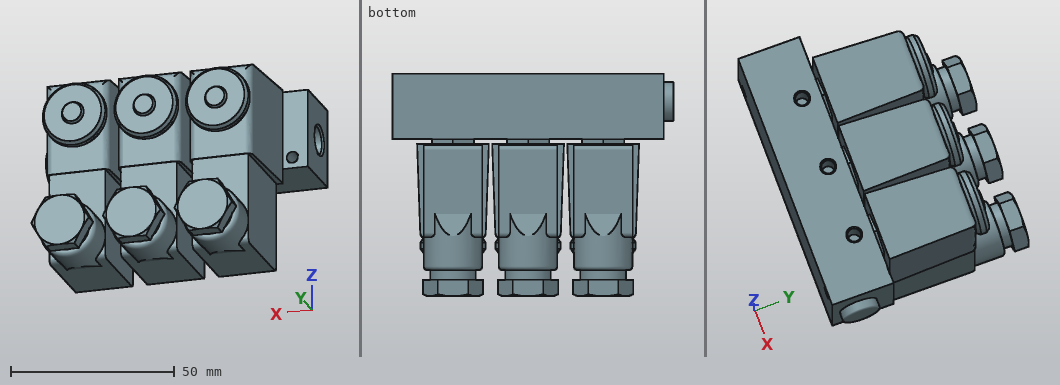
import cadquery as cq
import math

overall_length = 86
overall_depth = 68.0
overall_height = 61.0

block_length = 83.0
block_depth = 20.0
block_height = 25.0
block_mid_height = block_height / 2

mount_diameter = 3.6
mount_side_inset = 5.0
mount_edge_inset = 3.5

port_diameter = 8.6
port_mouth_diameter = 9.8
port_depth = 12
port_y = 8.5
plug_diameter = 12
plug_length = overall_length - block_length
plug_fillet = 0.5

outlet_diameter = 4.1
outlet_mouth_diameter = 5.0
outlet_depth = 7.7
outlet_y = 14.0

valve_count = 3
valve_pitch = 23.0

neck_flats = 13.0
neck_length = 1.5

coil_width = 22.0
coil_height = 30.3
coil_depth = 29.0
coil_draft = 2
coil_fillet = 1.9
coil_front_y = block_depth + neck_length
coil_back_y = coil_front_y + coil_depth
coil_bottom_z = block_height - coil_height

cap_diameter = 20.0
cap_length = 4.2
cap_bevel_length = 1.2
cap_bevel_height = 0.9
knob_base_diameter = 7.05
knob_end_diameter = 6
knob_length = 0.95

box_width = 18.0
box_inset = 0.4
box_depth = coil_depth - 2 * box_inset
box_height = 28.8
box_fillet = 1.5
box_front_y = coil_front_y + box_inset
box_bottom_z = coil_bottom_z - box_height

sleeve_diameter = 18.0
sleeve_back_y = 60.1
sleeve_fillet = 1.2
ramp_front_y = 42.9
ramp_back_y = 49.6
stem_diameter = 14.0
nut_flats = 16.0
nut_length = 5.0
nut_bevel_angle = 25
nut_front_y = overall_depth - nut_length
gland_bottom_z = block_height - overall_height
gland_z = gland_bottom_z + sleeve_diameter / 2


def plane_at(x, y, z):
    """Sketch plane facing +Y, with its local x along -X and local y along +Z."""
    return cq.Workplane(cq.Plane(origin=(x, y, z), xDir=(-1, 0, 0), normal=(0, 1, 0)))


def drill(origin, direction, diameter, mouth_diameter, depth):
    """Blind hole cutter with a 45 degree countersunk mouth."""
    start = cq.Vector(*origin)
    axis = cq.Vector(*direction)
    sink = (mouth_diameter - diameter) / 2
    bore = cq.Solid.makeCylinder(diameter / 2, depth, start, axis)
    mouth = cq.Solid.makeCone(mouth_diameter / 2, diameter / 2, sink, start, axis)
    return cq.Workplane(bore).union(cq.Workplane(mouth))


def make_block(valve_positions):
    block = cq.Workplane().box(block_length, block_depth, block_height, centered=False)
    plug = (
        cq.Workplane("YZ", origin=(block_length, port_y, block_mid_height))
        .circle(plug_diameter / 2)
        .extrude(plug_length)
        .faces(">X")
        .edges()
        .fillet(plug_fillet)
    )
    block = block.union(plug)
    mount_points = [
        (mount_side_inset, mount_edge_inset),
        (block_length - mount_side_inset, block_height - mount_edge_inset),
    ]
    for x, z in mount_points:
        block = block.cut(plane_at(x, 0, z).circle(mount_diameter / 2).extrude(block_depth))
    port_origin = (0, port_y, block_mid_height)
    block = block.cut(drill(port_origin, (1, 0, 0), port_diameter, port_mouth_diameter, port_depth))
    for x in valve_positions:
        outlet_origin = (x, outlet_y, block_height)
        block = block.cut(
            drill(outlet_origin, (0, 0, -1), outlet_diameter, outlet_mouth_diameter, outlet_depth)
        )
    return block


def hexagon_corner_radius(flats):
    return flats / 2 / math.cos(math.pi / 6)


def hexagon(flats, first_corner_angle):
    """Corner points of a hexagon of the given width across flats."""
    radius = hexagon_corner_radius(flats)
    angles = [math.radians(first_corner_angle + 60 * i) for i in range(6)]
    return [(radius * math.cos(a), radius * math.sin(a)) for a in angles]


def make_neck(x):
    neck = plane_at(x, block_depth, block_mid_height)
    return neck.polyline(hexagon(neck_flats, 90)).close().extrude(neck_length)


def make_coil(x):
    shrink = coil_depth * math.tan(math.radians(coil_draft))
    coil = (
        plane_at(x, coil_front_y, coil_bottom_z + coil_height / 2)
        .rect(coil_width, coil_height)
        .workplane(offset=coil_depth)
        .center(0, -shrink / 2)
        .rect(coil_width - 2 * shrink, coil_height - shrink)
        .loft(ruled=True)
    )
    return coil.faces(">Y").edges("not <Z").fillet(coil_fillet)


def make_cap(x):
    radius = cap_diameter / 2
    end_radius = radius - cap_bevel_height
    cap = (
        cq.Workplane("XY", origin=(x, coil_back_y, block_mid_height))
        .lineTo(end_radius, 0)
        .lineTo(radius, cap_bevel_length)
        .lineTo(radius, cap_length - cap_bevel_length)
        .lineTo(end_radius, cap_length)
        .lineTo(0, cap_length)
        .close()
        .revolve(360, (0, 0, 0), (0, 1, 0))
    )
    knob = cq.Solid.makeCone(
        knob_base_diameter / 2,
        knob_end_diameter / 2,
        knob_length,
        cq.Vector(x, coil_back_y + cap_length, block_mid_height),
        cq.Vector(0, 1, 0),
    )
    return cap.union(cq.Workplane(knob))


def make_connector_box(x):
    box = cq.Workplane().box(box_width, box_depth, box_height, centered=(True, False, False))
    box = box.translate((x, box_front_y, box_bottom_z))
    return box.faces("<Z").edges("|X").fillet(box_fillet)


def make_sleeve(x):
    """Cylinder whose lower front is cut by a ramp rising towards the box bottom."""
    sleeve = (
        plane_at(x, ramp_front_y, gland_z)
        .circle(sleeve_diameter / 2)
        .extrude(sleeve_back_y - ramp_front_y)
        .faces(">Y")
        .edges()
        .fillet(sleeve_fillet)
    )
    ramp = (
        cq.Workplane("YZ", origin=(x, 0, 0))
        .moveTo(ramp_front_y, box_bottom_z)
        .lineTo(ramp_back_y, gland_bottom_z)
        .lineTo(ramp_front_y, gland_bottom_z)
        .close()
        .extrude(sleeve_diameter / 2, both=True)
    )
    return sleeve.cut(ramp)


def make_nut(x):
    nut = plane_at(x, nut_front_y, gland_z).polyline(hexagon(nut_flats, 0)).close().extrude(nut_length)
    flat_radius = nut_flats / 2
    corner_radius = hexagon_corner_radius(nut_flats)
    bevel_length = (corner_radius - flat_radius) * math.tan(math.radians(nut_bevel_angle))
    envelope = (
        cq.Workplane("XY", origin=(x, nut_front_y, gland_z))
        .lineTo(corner_radius, 0)
        .lineTo(corner_radius, nut_length - bevel_length)
        .lineTo(flat_radius, nut_length)
        .lineTo(0, nut_length)
        .close()
        .revolve(360, (0, 0, 0), (0, 1, 0))
    )
    return nut.intersect(envelope)


def make_gland(x):
    stem = (
        plane_at(x, sleeve_back_y, gland_z)
        .circle(stem_diameter / 2)
        .extrude(nut_front_y - sleeve_back_y)
    )
    return make_sleeve(x).union(stem).union(make_nut(x))


valve_positions = [
    block_length / 2 + (i - (valve_count - 1) / 2) * valve_pitch for i in range(valve_count)
]

result = make_block(valve_positions)
for valve_x in valve_positions:
    for make_feature in (make_neck, make_coil, make_cap, make_connector_box, make_gland):
        result = result.union(make_feature(valve_x))